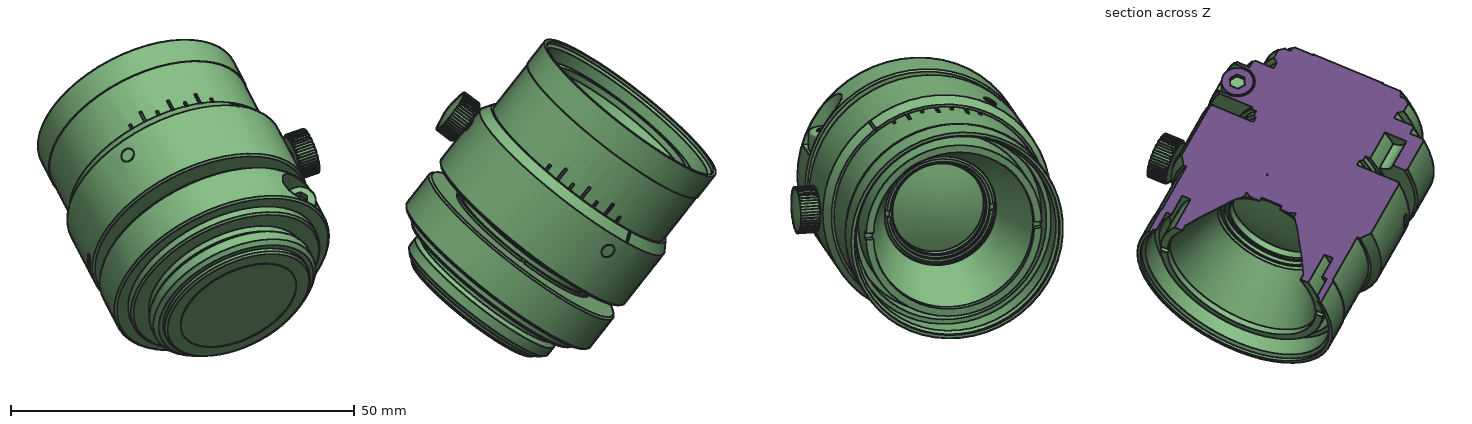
import cadquery as cq
import math


length = 37.75
rim_r, rim_end = 15.8, 4.15
barrel_r, barrel_end = 15.67, 12.33

iris_r, iris_end = 17.0, 23.52
iris_front_r, iris_bevel = 16.05, 1.5
edge_chamfer = 0.3

neck_r, neck_end = 11.15, 24.25
step_r, step_end = 11.5, 25.3
flange_r = 12.1

clamp_r, clamp_start, clamp_end = 17.0, 25.7, 31.7
shoulder_r, shoulder_end = 14.95, 33.1
relief_r, relief_end = 12.2, 34.07
thread_r, thread_end = 12.82, 36.8
tail_r, tail_end = 11.5, 37.65
lip_r = 9.15

mouth_r, mouth_depth = 15.3, 0.45
well_r, well_depth = 14.87, 4.02
groove_r, groove_depth = 14.2, 7.6
hood_outer_r, hood_inner_r = 13.1, 12.0
hood_front, hood_land = 2.25, 0.95
throat_r, throat_start, throat_end = 8.3, 11.45, 12.15
retainer_chamfer = 0.4
retainer_bore_r, retainer_depth = 7.47, 0.65
seat_r = 7.1
lens_r, lens_edge, lens_bulge = 6.9, 13.65, 1.15

screw_x = 16.3
shank_d = 2.0
knob_d, knob_base, knob_shoulder, knob_top = 6.83, 17.5, 20.45, 20.95
knob_chamfer = 0.25
knurl_count, knurl_width, knurl_depth = 24, 0.45, 0.2
set_screw_d = 2.05
mark_depth = 0.1

index_x, index_length, index_height = 21.93, 0.8, 2.95

tick_width, tick_pitch, tick_middle = 0.35, 8.07, 1.75
short_tick, long_tick = 1.02, 2.1
pointer_angle = 36.3

spanner_width, spanner_depth = 1.0, 0.95
inner_spanner_depth = 0.38
flange_slot_width = 0.7

clamp_screw_x = (clamp_start + clamp_end) / 2
clamp_screw_y = 13.5
pocket_width, pocket_floor = 5.05, 4.9
clamp_head_d, clamp_head_top, clamp_head_round = 4.7, 7.75, 0.45
hex_corner_d, hex_depth = 2.4, 0.95

clamp_hole_y, clamp_hole_z = -10.62, 7.6
clamp_hole_d, clamp_hole_depth = 4.97, 4.55


def make_body():
    """Revolve the stepped outside and the hooded front cavity about X."""
    c = edge_chamfer
    retainer_front = throat_end - retainer_chamfer
    seat_x = retainer_front + retainer_depth
    profile = (
        cq.Workplane("XY")
        .moveTo(0, mouth_r)
        .lineTo(0, rim_r)
        .lineTo(rim_end, rim_r)
        .lineTo(rim_end, barrel_r)
        .lineTo(barrel_end, barrel_r)
        .lineTo(barrel_end, iris_front_r)
        .lineTo(barrel_end + iris_bevel, iris_r)
        .lineTo(iris_end - c, iris_r)
        .lineTo(iris_end, iris_r - c)
        .lineTo(iris_end, neck_r)
        .lineTo(neck_end, neck_r)
        .lineTo(neck_end + step_r - neck_r, step_r)
        .lineTo(step_end, step_r)
        .lineTo(step_end, flange_r)
        .lineTo(clamp_start, flange_r)
        .lineTo(clamp_start, clamp_r - c)
        .lineTo(clamp_start + c, clamp_r)
        .lineTo(clamp_end - c, clamp_r)
        .lineTo(clamp_end, clamp_r - c)
        .lineTo(clamp_end, shoulder_r)
        .lineTo(shoulder_end - c, shoulder_r)
        .lineTo(shoulder_end, shoulder_r - c)
        .lineTo(shoulder_end, relief_r)
        .lineTo(relief_end, relief_r)
        .lineTo(relief_end + thread_r - relief_r, thread_r)
        .lineTo(thread_end - (thread_r - relief_r), thread_r)
        .lineTo(thread_end, relief_r)
        .lineTo(thread_end, tail_r)
        .lineTo(tail_end - c, tail_r)
        .lineTo(tail_end, tail_r - c)
        .lineTo(tail_end, lip_r)
        .lineTo(length, lip_r)
        .lineTo(length, 0)
        .lineTo(lens_edge - lens_bulge, 0)
        .threePointArc(lens_midpoint(), (lens_edge, lens_r))
        .lineTo(seat_x + seat_r - lens_r, lens_r)
        .lineTo(seat_x, seat_r)
        .lineTo(seat_x, retainer_bore_r)
        .lineTo(retainer_front, retainer_bore_r)
        .lineTo(retainer_front, throat_r - retainer_chamfer)
        .lineTo(throat_end, throat_r)
        .lineTo(throat_start, throat_r)
        .lineTo(hood_front + hood_land, hood_inner_r)
        .lineTo(hood_front, hood_inner_r)
        .lineTo(hood_front, hood_outer_r)
        .lineTo(groove_depth, hood_outer_r)
        .lineTo(groove_depth, groove_r)
        .lineTo(well_depth, groove_r)
        .lineTo(well_depth, well_r)
        .lineTo(mouth_depth + mouth_r - well_r, well_r)
        .lineTo(mouth_depth, mouth_r)
        .close()
    )
    return profile.revolve(360, (0, 0, 0), (1, 0, 0))


def lens_midpoint():
    """Point halfway along the lens arc between its centre and its edge."""
    sphere_r = (lens_r**2 + lens_bulge**2) / (2 * lens_bulge)
    half_angle = math.asin(lens_r / sphere_r) / 2
    x = lens_edge - lens_bulge + sphere_r * (1 - math.cos(half_angle))
    return (x, sphere_r * math.sin(half_angle))


def box(x_start, x_end, y_start, y_end, z_size):
    """Box between the given X and Y limits, centred on Z = 0."""
    return cq.Workplane("XY").box(
        x_end - x_start, y_end - y_start, z_size, centered=(False, False, True)
    ).translate((x_start, y_start, 0))


def around_axis(shape, angle):
    """Turn a shape about the optical axis, from +Y towards +Z."""
    return shape.rotate((0, 0, 0), (1, 0, 0), angle)


def make_thumb_screw():
    """Shank and knurled, domed knob standing on +Y."""
    shank = shank_d / 2
    knob = knob_d / 2
    dome_r = knob - knob_chamfer
    dome_rise = knob_top - knob_shoulder
    dome_sphere_r = (dome_r**2 + dome_rise**2) / (2 * dome_rise)
    dome_side = math.sqrt(dome_sphere_r**2 - dome_r**2 / 4)
    screw = (
        cq.Workplane("XY")
        .moveTo(0, neck_r)
        .lineTo(shank, neck_r)
        .lineTo(shank, knob_base)
        .lineTo(knob - knob_chamfer, knob_base)
        .lineTo(knob, knob_base + knob_chamfer)
        .lineTo(knob, knob_shoulder)
        .lineTo(dome_r, knob_shoulder)
        .threePointArc((dome_r / 2, knob_top - dome_sphere_r + dome_side), (0, knob_top))
        .close()
        .revolve(360, (0, 0, 0), (0, 1, 0))
    )
    groove = box(knob - knurl_depth, knob + knurl_depth, knob_base, knob_top, knurl_width)
    for i in range(knurl_count):
        screw = screw.cut(groove.rotate((0, 0, 0), (0, 1, 0), i * 360 / knurl_count))
    return screw.translate((screw_x, 0, 0))


def cut_iris_marks(body):
    """Sink the set-screw faces, the index mark and the pointers into the iris ring."""
    set_screw = (
        cq.Workplane("XZ", origin=(screw_x, iris_r - mark_depth, 0))
        .circle(set_screw_d / 2)
        .extrude(-2 * mark_depth)
    )
    for angle in (120, 240):
        body = body.cut(around_axis(set_screw, angle))

    half = index_length / 2
    index = box(index_x - half, index_x + half, iris_r - mark_depth, iris_r + mark_depth, index_height)
    body = body.cut(around_axis(index, 180))

    bevel = (
        cq.Workplane("XY")
        .moveTo(barrel_end, iris_front_r - mark_depth)
        .lineTo(barrel_end + iris_bevel, iris_r - mark_depth)
        .lineTo(barrel_end + iris_bevel, iris_r + mark_depth)
        .lineTo(barrel_end, iris_r + mark_depth)
        .close()
        .extrude(tick_width / 2, both=True)
    )
    for opposite in (0, 180):
        body = body.cut(around_axis(bevel, 90 - pointer_angle + opposite))
    return body


def cut_graduations(body):
    """Engrave the two opposite aperture scales; every second tick is long."""
    for i in range(-3, 4):
        tick_length = long_tick if i % 2 == 0 else short_tick
        tick = box(
            barrel_end - tick_length, barrel_end,
            barrel_r - mark_depth, barrel_r + mark_depth, tick_width,
        )
        for opposite in (0, 180):
            angle = 90 - tick_middle - i * tick_pitch + opposite
            body = body.cut(around_axis(tick, angle))
    return body


def cut_slots(body):
    """Spanner slots in the hood and the lens retainer, and slots across the neck flange."""
    retainer_front = throat_end - retainer_chamfer
    hood_slot = box(
        hood_front, hood_front + spanner_depth, hood_inner_r - 0.38, hood_outer_r, spanner_width
    )
    retainer_slot = box(
        retainer_front, retainer_front + inner_spanner_depth,
        retainer_bore_r - 0.38, throat_r - retainer_chamfer / 2, spanner_width,
    )
    flange_slot = box(step_end, clamp_start, step_r, flange_r + 0.38, flange_slot_width)
    for angle in (0, 180):
        body = body.cut(around_axis(hood_slot, angle))
        body = body.cut(around_axis(retainer_slot, angle))
    for angle in (0, 90, 180, 270):
        body = body.cut(around_axis(flange_slot, angle))
    return body


def cut_clamp_hole(body):
    """Blind hole in the front face of the clamp ring, stopping at the core inside the ring."""
    core = cq.Workplane("YZ", origin=(clamp_start, 0, 0)).circle(flange_r).extrude(clamp_hole_depth)
    hole = (
        cq.Workplane("YZ", origin=(clamp_start, clamp_hole_y, clamp_hole_z))
        .circle(clamp_hole_d / 2)
        .extrude(clamp_hole_depth)
    )
    return body.cut(hole.cut(core))


def add_clamp_screw(body):
    """Socket-head screw, parallel to Z, standing in an open pocket of the clamp ring."""
    floor = cq.Workplane("XY", origin=(clamp_screw_x, clamp_screw_y, pocket_floor))
    pocket = (
        floor.circle(pocket_width / 2).extrude(clamp_r)
        .union(floor.rect(pocket_width, clamp_r, centered=(True, False)).extrude(clamp_r))
    )
    head = (
        floor.circle(clamp_head_d / 2)
        .extrude(clamp_head_top - pocket_floor)
        .faces(">Z").edges().fillet(clamp_head_round)
    )
    socket = (
        cq.Workplane("XY", origin=(clamp_screw_x, clamp_screw_y, clamp_head_top))
        .transformed(rotate=(0, 0, 90))
        .polygon(6, hex_corner_d)
        .extrude(-hex_depth)
    )
    return body.cut(pocket).union(head.cut(socket))


body = make_body()
body = cut_iris_marks(body)
body = cut_graduations(body)
body = cut_slots(body)
body = cut_clamp_hole(body)
body = add_clamp_screw(body)
result = body.union(make_thumb_screw())